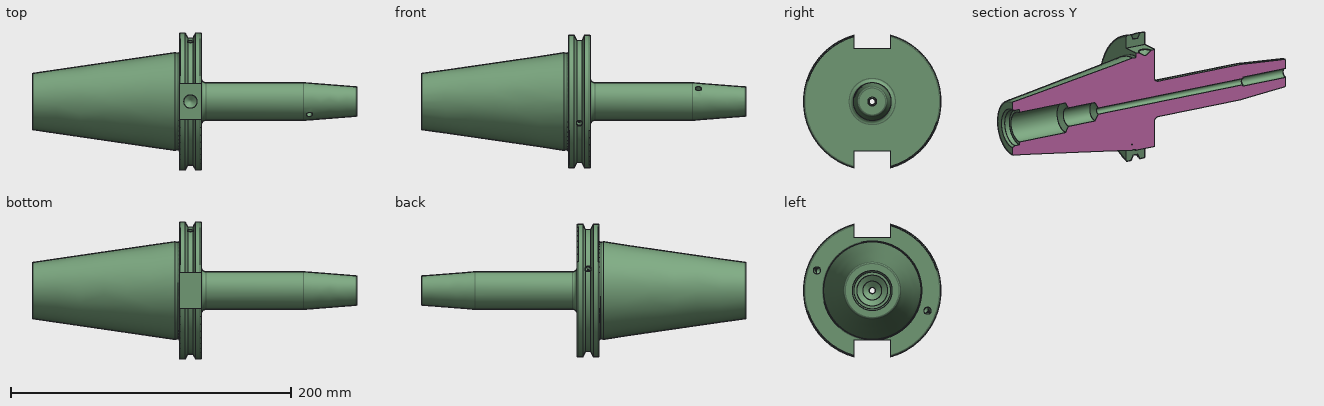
import cadquery as cq
import math


EDGE_ROUND = 1

TAPER_LENGTH = 101.6
GAUGE_RADIUS = 69.85 / 2
TAPER_RATE = 7 / 24
TAIL_RADIUS = GAUGE_RADIUS - TAPER_RATE * TAPER_LENGTH / 2

NECK_DEPTH = 0.3
NECK_CONE_LENGTH = 1.4
NECK_FILLET = 0.8
NECK_RADIUS = GAUGE_RADIUS - NECK_DEPTH

FLANGE_START = 3.18
FLANGE_END = 19.05
FLANGE_RADIUS = 98.17 / 2
FLANGE_MIDDLE = (FLANGE_START + FLANGE_END) / 2
GROOVE_FLOOR_RADIUS = 45.5
GROOVE_FLOOR_WIDTH = 3.8
GROOVE_MOUTH_WIDTH = 7.5

SLOT_WIDTH = 25.8
DEEP_SLOT_FLOOR = 35.4
SHALLOW_SLOT_FLOOR = 37.9
DIMPLE_DIAMETER = 9.53
DIMPLE_DEPTH = 0.5
DRILL_POINT_ANGLE = 118

SHANK_RADIUS = 27 / 2
SHANK_FILLET = 3
NOSE_END = 130
NOSE_HALF_ANGLE = 4.5
NOSE_TIP_RADIUS = 21 / 2
NOSE_START = NOSE_END - (SHANK_RADIUS - NOSE_TIP_RADIUS) / math.tan(math.radians(NOSE_HALF_ANGLE))

BORE_MOUTH_RADIUS = 28.5 / 2
BORE_MOUTH_LENGTH = 2
COUNTERBORE_RADIUS = 26.2 / 2
COUNTERBORE_DEPTH = 6
THREAD_BORE_RADIUS = 21.97 / 2
THREAD_BORE_DEPTH = 45
INNER_BORE_RADIUS = 13.5 / 2
INNER_BORE_DEPTH = 70
COOLANT_RADIUS = 4.3 / 2

TOOL_BORE_RADIUS = 6.35 / 2
TOOL_BORE_DEPTH = 36

PORT_CIRCLE_RADIUS = 42
PORT_ANGLE = 20
FACE_PORT_DIAMETER = 5
FACE_PORT_DEPTH = 8
FACE_PORT_TILT = 15
GROOVE_PORT_DIAMETER = 4.2
GROOVE_PORT_DEPTH = 2

NOSE_HOLE_X = 96
NOSE_HOLE_ANGLE = 45
NOSE_HOLE_DIAMETER = 4.13
NOSE_HOLE_DEPTH = 6

DRILL_OVERRUN = 1
TILTED_DRILL_OVERRUN = 2


def revolve_about_x(points):
    """Revolve a closed outline of (x, radius) points about the X axis."""
    return cq.Workplane("XY").polyline(points).close().revolve(360, (0, 0, 0), (1, 0, 0))


def round_circle(body, x, circle_radius, fillet_radius):
    """Fillet the circular edge of the given radius that lies at the given X."""
    margin = 0.01
    reach = circle_radius + margin
    core = circle_radius - margin
    outer = cq.selectors.BoxSelector(
        (x - margin, -reach, -reach), (x + margin, reach, reach), boundingbox=True
    )
    inner = cq.selectors.BoxSelector(
        (x - margin, -core, -core), (x + margin, core, core), boundingbox=True
    )
    return body.edges(outer - inner).fillet(fillet_radius)


def drill(mouth, direction, diameter, depth, overrun=0):
    """Cylinder with a conical point; depth counts to the shoulder of the point."""
    radius = diameter / 2
    point_depth = radius / math.tan(math.radians(DRILL_POINT_ANGLE / 2))
    axis = direction.normalized()
    start = mouth - axis * overrun
    shoulder = mouth + axis * depth
    body = cq.Solid.makeCylinder(radius, depth + overrun, start, axis)
    point = cq.Solid.makeCone(radius, 0, point_depth, shoulder, axis)
    return cq.Workplane(body.fuse(point))


def make_body():
    floor_half = GROOVE_FLOOR_WIDTH / 2
    mouth_half = GROOVE_MOUTH_WIDTH / 2
    body = revolve_about_x([
        (-TAPER_LENGTH, 0),
        (-TAPER_LENGTH, TAIL_RADIUS),
        (0, GAUGE_RADIUS),
        (NECK_CONE_LENGTH, NECK_RADIUS),
        (FLANGE_START, NECK_RADIUS),
        (FLANGE_START, FLANGE_RADIUS),
        (FLANGE_MIDDLE - mouth_half, FLANGE_RADIUS),
        (FLANGE_MIDDLE - floor_half, GROOVE_FLOOR_RADIUS),
        (FLANGE_MIDDLE + floor_half, GROOVE_FLOOR_RADIUS),
        (FLANGE_MIDDLE + mouth_half, FLANGE_RADIUS),
        (FLANGE_END, FLANGE_RADIUS),
        (FLANGE_END, SHANK_RADIUS),
        (NOSE_START, SHANK_RADIUS),
        (NOSE_END, NOSE_TIP_RADIUS),
        (NOSE_END, 0),
    ])
    body = round_circle(body, -TAPER_LENGTH, TAIL_RADIUS, EDGE_ROUND)
    body = round_circle(body, FLANGE_START, NECK_RADIUS, NECK_FILLET)
    body = round_circle(body, FLANGE_START, FLANGE_RADIUS, EDGE_ROUND)
    body = round_circle(body, FLANGE_END, FLANGE_RADIUS, EDGE_ROUND)
    body = round_circle(body, FLANGE_END, SHANK_RADIUS, SHANK_FILLET)
    return round_circle(body, NOSE_END, NOSE_TIP_RADIUS, EDGE_ROUND)


def make_bores():
    """Stepped bore that runs from the tail through to the nose."""
    tail = -TAPER_LENGTH
    cone_slope = math.tan(math.radians(DRILL_POINT_ANGLE / 2))
    thread_end = tail + THREAD_BORE_DEPTH
    thread_cone = (THREAD_BORE_RADIUS - INNER_BORE_RADIUS) / cone_slope
    inner_end = tail + INNER_BORE_DEPTH
    inner_cone = (INNER_BORE_RADIUS - COOLANT_RADIUS) / cone_slope
    return revolve_about_x([
        (tail, 0),
        (tail, BORE_MOUTH_RADIUS),
        (tail + BORE_MOUTH_LENGTH, COUNTERBORE_RADIUS),
        (tail + COUNTERBORE_DEPTH, COUNTERBORE_RADIUS),
        (tail + COUNTERBORE_DEPTH, THREAD_BORE_RADIUS),
        (thread_end, THREAD_BORE_RADIUS),
        (thread_end + thread_cone, INNER_BORE_RADIUS),
        (inner_end, INNER_BORE_RADIUS),
        (inner_end + inner_cone, COOLANT_RADIUS),
        (NOSE_END - TOOL_BORE_DEPTH, COOLANT_RADIUS),
        (NOSE_END - TOOL_BORE_DEPTH, TOOL_BORE_RADIUS),
        (NOSE_END, TOOL_BORE_RADIUS),
        (NOSE_END, 0),
    ])


def make_slot(floor, side):
    """Drive slot across the flange; side is +1 for +Z and -1 for -Z."""
    length = FLANGE_END - FLANGE_START
    height = FLANGE_RADIUS
    slot = cq.Workplane("XY").box(length, SLOT_WIDTH, height)
    return slot.translate((FLANGE_MIDDLE, 0, side * (floor + height / 2)))


def make_dimple():
    """Conical locating dimple in the floor of the shallow slot."""
    mouth = cq.Vector(FLANGE_MIDDLE, 0, SHALLOW_SLOT_FLOOR)
    return drill(mouth, cq.Vector(0, 0, -1), DIMPLE_DIAMETER, DIMPLE_DEPTH)


def cut_flange_ports(body, side):
    """Inward-leaning port in the flange face and a radial port in the groove."""
    angle = math.radians(PORT_ANGLE)
    tilt = math.radians(FACE_PORT_TILT)
    outward = cq.Vector(0, side * math.cos(angle), side * math.sin(angle))
    face_axis = cq.Vector(math.cos(tilt), 0, 0) - outward * math.sin(tilt)
    face_mouth = cq.Vector(FLANGE_START, 0, 0) + outward * PORT_CIRCLE_RADIUS
    face_port = drill(face_mouth, face_axis, FACE_PORT_DIAMETER, FACE_PORT_DEPTH, TILTED_DRILL_OVERRUN)
    groove_mouth = cq.Vector(FLANGE_MIDDLE, 0, 0) + outward * GROOVE_FLOOR_RADIUS
    groove_port = drill(groove_mouth, outward * -1, GROOVE_PORT_DIAMETER, GROOVE_PORT_DEPTH, DRILL_OVERRUN)
    return body.cut(face_port).cut(groove_port)


def make_nose_hole():
    angle = math.radians(NOSE_HOLE_ANGLE)
    outward = cq.Vector(0, -math.cos(angle), math.sin(angle))
    mouth = cq.Vector(NOSE_HOLE_X, 0, 0) + outward * SHANK_RADIUS
    return drill(mouth, outward * -1, NOSE_HOLE_DIAMETER, NOSE_HOLE_DEPTH, DRILL_OVERRUN)


result = (
    make_body()
    .cut(make_bores())
    .cut(make_slot(SHALLOW_SLOT_FLOOR, 1))
    .cut(make_slot(DEEP_SLOT_FLOOR, -1))
    .cut(make_dimple())
    .cut(make_nose_hole())
)
for port_side in (1, -1):
    result = cut_flange_ports(result, port_side)